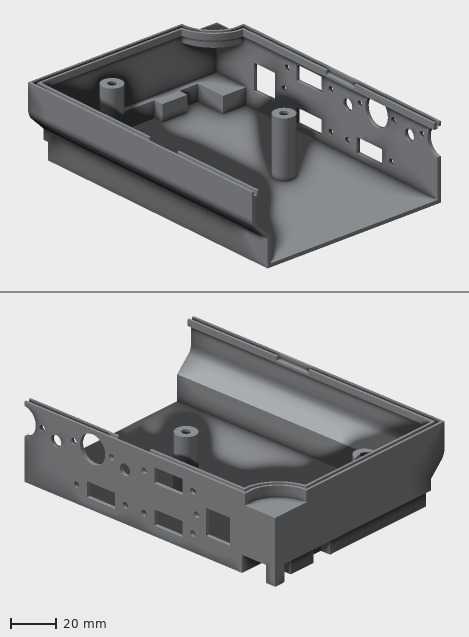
import cadquery as cq
import math

length = 150.0
depth = 111.0
height = 40.0
wall = 2.0

front_step = 9.0
step_top = 14.5
bend_radius = 7.0

rim_width = 4.0
rim_height = 3.3
groove_outer = 1.2
groove_inner = 2.8
groove_depth = 2.1
gap_start = 77.5
gap_end = 96.7

notch_x = 18.0
notch_y = 20.5
notch_radius = 18.5
notch_depth = 5.8

recess_depth = 3.0
recess_height = 9.0
post_x = 5.5
post_y = 6.1
corner_pocket_x = 19.8
corner_pocket_y = 13.5
side_pocket_x = 8.4
side_pocket_near = 28.3
side_pocket_far = 39.1

standoff_diameter = 11.0
standoff_bore = 4.3
standoff_top = 32.8
standoff_places = [(14.0, 37.0), (87.0, 74.1)]

screw_diameter = 3.1
upper_row = 30.3
lower_row = 9.3
connector_width = 16.8
connector_height = 8.1
connector_screw_spacing = 29.2
connector_places = [(63.9, upper_row), (63.9, lower_row), (104.2, lower_row)]
socket_diameter = 15.0
socket_screw_spacing = 22.6
socket_places = [109.2, 150.7]
button_diameter = 6.0
button_places = [89.8, 131.0]
button_row = 26.8
jack_left = 27.0
jack_right = 41.2
jack_bottom = 11.0
jack_top = 24.9
jack_screw = (47.1, 19.3)


def box(x0, x1, y0, y1, z0, z1):
    """Box between two opposite corners."""
    return cq.Workplane("XY").box(x1 - x0, y1 - y0, z1 - z0, centered=False).translate((x0, y0, z0))


def side_profile(inset, x_start, z_bottom):
    """Stepped side profile, inset from the front and back and run along X to the open end."""
    slope_sum = front_step + step_top + inset * math.sqrt(2)
    step_y = front_step + inset
    solid = (
        cq.Workplane("YZ", origin=(x_start, 0, 0))
        .moveTo(step_y, z_bottom)
        .lineTo(depth - inset, z_bottom)
        .lineTo(depth - inset, height)
        .lineTo(inset, height)
        .lineTo(inset, slope_sum - inset)
        .lineTo(step_y, slope_sum - step_y)
        .close()
        .extrude(length - x_start)
    )
    bend = cq.selectors.NearestToPointSelector(((x_start + length) / 2, inset, slope_sum - inset))
    return solid.edges(bend).fillet(bend_radius - inset)


def corner_notch(offset, z0, z1):
    """Corner notch grown by an offset: an arc centred on the left side, cut off straight on its right."""
    side_x = notch_x + offset
    radius = notch_radius + offset
    centre_y = depth - notch_y + notch_radius
    end_angle = math.acos(side_x / radius)
    mid_angle = (end_angle + math.pi / 2) / 2
    arc_mid = (radius * math.cos(mid_angle), centre_y - radius * math.sin(mid_angle))
    return (
        cq.Workplane("XY", origin=(0, 0, z0))
        .moveTo(0, depth)
        .lineTo(side_x, depth)
        .lineTo(side_x, centre_y - radius * math.sin(end_angle))
        .threePointArc(arc_mid, (0, centre_y - radius))
        .close()
        .extrude(z1 - z0)
    )


def plan_area(inset, z0, z1):
    """Area inside the rim outline moved inwards by an inset, open at the right end."""
    return box(inset, length, inset, depth - inset, z0, z1).cut(corner_notch(inset, z0, z1))


def rim_band(outer, inner, z0):
    """Band along the rim between two insets, from z0 to the top."""
    return plan_area(outer, z0, height).cut(plan_area(inner, z0, height))


def back_hole(x, z, diameter):
    """Round hole through the thin back wall."""
    return (
        cq.Workplane("XZ", origin=(0, depth, 0))
        .center(x, z)
        .circle(diameter / 2)
        .extrude(wall)
    )


def back_window(x0, x1, z0, z1):
    """Rectangular opening through the thin back wall."""
    return box(x0, x1, depth - wall, depth, z0, z1)


def screw_pair(x, z, spacing):
    """Two screw holes either side of an opening."""
    left = back_hole(x - spacing / 2, z, screw_diameter)
    return left.union(back_hole(x + spacing / 2, z, screw_diameter))


body = side_profile(0, 0, 0).cut(side_profile(wall, wall, wall))

notch_floor = height - notch_depth
body = body.union(corner_notch(wall, notch_floor - wall, height))

body = body.union(rim_band(0, rim_width, height - rim_height))
body = body.cut(corner_notch(0, notch_floor, height))

housing_top = recess_height + wall
left_foot = box(0, recess_depth + wall, front_step, depth, 0, housing_top)
corner_housing = box(0, corner_pocket_x + wall, depth - corner_pocket_y - wall, depth, 0, housing_top)
side_housing = box(
    0, side_pocket_x + wall, depth - side_pocket_far - wall, depth - side_pocket_near + wall, 0, housing_top
)
body = body.union(left_foot).union(corner_housing).union(side_housing)

recess = box(0, recess_depth, 0, depth - post_y, 0, recess_height)
corner_pocket = box(0, corner_pocket_x, depth - corner_pocket_y, depth, 0, recess_height)
corner_pocket = corner_pocket.cut(box(0, post_x, depth - post_y, depth, 0, recess_height))
side_pocket = box(0, side_pocket_x, depth - side_pocket_far, depth - side_pocket_near, 0, recess_height)
body = body.cut(recess).cut(corner_pocket).cut(side_pocket)

groove_floor = height - groove_depth
body = body.cut(rim_band(groove_outer, groove_inner, groove_floor))
gap_slab = box(gap_start, gap_end, 0, depth, groove_floor, height)
body = body.cut(rim_band(groove_outer, rim_width, groove_floor).intersect(gap_slab))

standoffs = cq.Workplane("XY").pushPoints(standoff_places).circle(standoff_diameter / 2).extrude(standoff_top)
bores = cq.Workplane("XY").pushPoints(standoff_places).circle(standoff_bore / 2).extrude(standoff_top)
body = body.union(standoffs).cut(bores)

for x, z in connector_places:
    half_width = connector_width / 2
    half_height = connector_height / 2
    body = body.cut(back_window(x - half_width, x + half_width, z - half_height, z + half_height))
    body = body.cut(screw_pair(x, z, connector_screw_spacing))
for x in socket_places:
    body = body.cut(back_hole(x, upper_row, socket_diameter))
    body = body.cut(screw_pair(x, upper_row, socket_screw_spacing))
for x in button_places:
    body = body.cut(back_hole(x, button_row, button_diameter))
body = body.cut(back_window(jack_left, jack_right, jack_bottom, jack_top))
body = body.cut(back_hole(*jack_screw, screw_diameter))

result = body